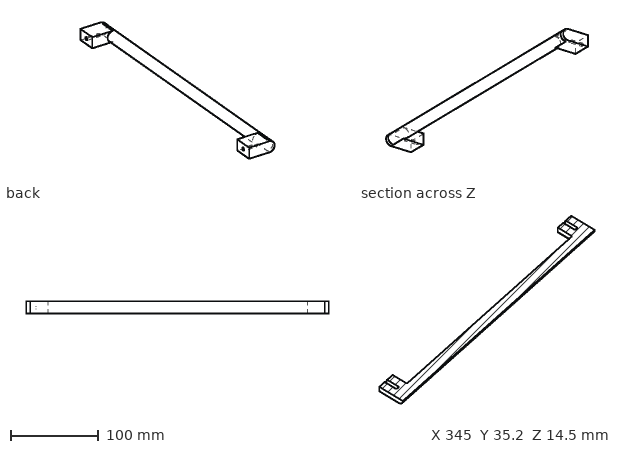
import cadquery as cq

length = 345.0
depth = 35.2
foot_height = 14.5

foot_width = 24.5
end_cap = 4.5
bar_diameter = 14.0
bar_radius = bar_diameter / 2
back_y = depth / 2
mounting_face_y = -depth / 2
bar_axis_y = back_y - bar_radius

hole_diameter = 3.8
hole_depth = 17.2


def make_left_foot():
    """Block up to the bar axis, with a round-backed cap closing the bar end."""
    block_depth = bar_axis_y - mounting_face_y
    block = cq.Workplane("XY").box(foot_width, block_depth, foot_height).translate(
        ((foot_width - length) / 2, (bar_axis_y + mounting_face_y) / 2, 0)
    )
    cap = (
        cq.Workplane("YZ", origin=(-length / 2, 0, 0))
        .moveTo(bar_axis_y, -foot_height / 2)
        .threePointArc((back_y, 0), (bar_axis_y, foot_height / 2))
        .close()
        .extrude(end_cap)
    )
    return block.union(cap)


def make_left_screw_hole():
    """Blind hole entering the middle of the foot from its mounting face."""
    return (
        cq.Workplane("XZ", origin=((foot_width - length) / 2, mounting_face_y, 0))
        .circle(hole_diameter / 2)
        .extrude(-hole_depth)
    )


bar_length = length - 2 * end_cap
bar = (
    cq.Workplane("YZ", origin=(-bar_length / 2, 0, 0))
    .center(bar_axis_y, 0)
    .circle(bar_radius)
    .extrude(bar_length)
)

left_foot = make_left_foot()
left_hole = make_left_screw_hole()
result = (
    bar.union(left_foot)
    .union(left_foot.mirror("YZ"))
    .cut(left_hole)
    .cut(left_hole.mirror("YZ"))
)